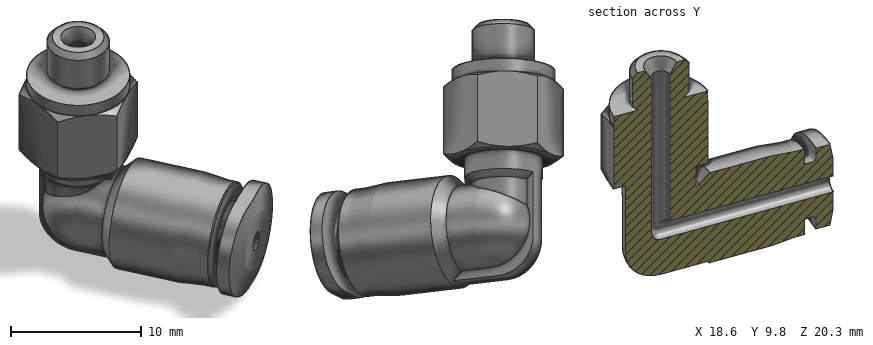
import cadquery as cq
import math


stud_diameter = 4.82
stud_end_diameter = 3.97
stud_top = 15.9
stud_chamfer_height = 0.45
flange_diameter = 7.94
flange_top = 12.3
hex_across_flats = 8.0
hex_top = 11.3
hex_bottom = 5.3
hex_chamfer_angle = 30

collar_diameter = 6.0
collar_bottom = 3.8
neck_diameter = 4.98
neck_top = 3.3

bore_diameter = 1.5
countersink_diameter = 2.65
countersink_depth = 1.01

elbow_radius = 3.48
elbow_ball_x = 0.79
body_diameter = 8.7
body_cone_start = 3.22
body_cone_end = 4.11
body_taper_start = 9.32
body_taper_end = 11.32
mouth_diameter = 8.3
mouth_end = 12.17
mouth_chamfer = 0.1

sleeve_diameter = 5.37
sleeve_fillet = 0.35
button_start = 13.1
overall_length = 18.57
button_end = overall_length - hex_across_flats / 2
button_length = 9.8
button_width = 7.82
button_face_diameter = 4.82
button_rim_x = 14.11

rib_thickness = 1.5
rib_bend_z = -1.17


def make_stud():
    """Turned stud, flange, collar and neck, revolved about Z."""
    stud_r = stud_diameter / 2
    stud_end_r = stud_end_diameter / 2
    flange_r = flange_diameter / 2
    collar_r = collar_diameter / 2
    neck_r = neck_diameter / 2
    outline = [
        (0, 0),
        (neck_r, 0),
        (neck_r, neck_top),
        (collar_r, collar_bottom),
        (collar_r, hex_bottom),
        (flange_r, hex_bottom),
        (flange_r, flange_top),
        (stud_end_r, flange_top),
        (stud_r, flange_top + stud_chamfer_height),
        (stud_r, stud_top - stud_chamfer_height),
        (stud_end_r, stud_top),
        (0, stud_top),
    ]
    return cq.Workplane("XZ").polyline(outline).close().revolve(360, (0, 0, 0), (0, 1, 0))


def make_hexagon():
    """Hexagon with flats facing +X and -X and its corners chamfered at both ends."""
    flat_r = hex_across_flats / 2
    corner_r = flat_r / math.cos(math.pi / 6)
    chamfer_drop = (corner_r - flat_r) * math.tan(math.radians(hex_chamfer_angle))
    prism = (
        cq.Workplane("XY", origin=(0, 0, hex_bottom))
        .transformed(rotate=(0, 0, 30))
        .polygon(6, 2 * corner_r)
        .extrude(hex_top - hex_bottom)
    )
    envelope = [
        (0, hex_bottom),
        (flat_r, hex_bottom),
        (corner_r, hex_bottom + chamfer_drop),
        (corner_r, hex_top - chamfer_drop),
        (flat_r, hex_top),
        (0, hex_top),
    ]
    turned = cq.Workplane("XZ").polyline(envelope).close().revolve(360, (0, 0, 0), (0, 1, 0))
    return prism.intersect(turned)


def make_body():
    """Ball-ended elbow, socket body and sleeve, revolved about X."""
    body_r = body_diameter / 2
    mouth_r = mouth_diameter / 2
    sleeve_r = sleeve_diameter / 2
    arc_offset = elbow_radius * math.sqrt(0.5)
    fillet_mid = sleeve_fillet * (1 - math.sqrt(0.5))
    return (
        cq.Workplane("XZ")
        .moveTo(elbow_ball_x - elbow_radius, 0)
        .threePointArc((elbow_ball_x - arc_offset, arc_offset), (elbow_ball_x, elbow_radius))
        .lineTo(body_cone_start, elbow_radius)
        .lineTo(body_cone_end, body_r)
        .lineTo(body_taper_start, body_r)
        .lineTo(body_taper_end, mouth_r)
        .lineTo(mouth_end - mouth_chamfer, mouth_r)
        .lineTo(mouth_end, mouth_r - mouth_chamfer)
        .lineTo(mouth_end, sleeve_r)
        .lineTo(button_start - sleeve_fillet, sleeve_r)
        .threePointArc(
            (button_start - fillet_mid, sleeve_r + fillet_mid),
            (button_start, sleeve_r + sleeve_fillet),
        )
        .lineTo(button_start, 0)
        .close()
        .revolve(360, (0, 0, 0), (1, 0, 0))
    )


def make_button():
    """Obround release button, long along Y, with a shallow conical outer face."""
    rim_r = button_length / 2
    obround = (
        cq.Workplane("YZ", origin=(button_start, 0, 0))
        .slot2D(button_length, button_width)
        .extrude(button_end - button_start)
    )
    envelope = [
        (button_start, 0),
        (button_start, rim_r),
        (button_rim_x, rim_r),
        (button_end, button_face_diameter / 2),
        (button_end, 0),
    ]
    turned = cq.Workplane("XZ").polyline(envelope).close().revolve(360, (0, 0, 0), (1, 0, 0))
    return obround.intersect(turned)


def make_rib():
    """Thin slice of a round bend that runs from the collar to the socket body."""
    rib_r = collar_diameter / 2
    upright_height = collar_bottom - rib_bend_z
    upright = cq.Workplane("XY", origin=(0, 0, rib_bend_z)).circle(rib_r).extrude(upright_height)
    bend = cq.Workplane("XY", origin=(0, 0, rib_bend_z)).sphere(rib_r)
    run = cq.Workplane("YZ", origin=(0, 0, rib_bend_z)).circle(rib_r).extrude(body_cone_end)
    slab_size = 2 * (body_cone_end + rib_r)
    slab = cq.Workplane("XY").box(slab_size, rib_thickness, slab_size)
    return upright.union(bend).union(run).intersect(slab)


def make_bore():
    """Countersunk stud bore, turned by a ball-ended elbow into a bore out along +X."""
    bore_r = bore_diameter / 2
    outline = [
        (0, 0),
        (bore_r, 0),
        (bore_r, stud_top - countersink_depth),
        (countersink_diameter / 2, stud_top),
        (0, stud_top),
    ]
    stud_bore = cq.Workplane("XZ").polyline(outline).close().revolve(360, (0, 0, 0), (0, 1, 0))
    run_bore = cq.Workplane("YZ").circle(bore_r).extrude(button_end)
    bend = cq.Workplane("XY").sphere(bore_r)
    return stud_bore.union(run_bore).union(bend)


result = (
    make_body()
    .union(make_stud())
    .union(make_hexagon())
    .union(make_button())
    .union(make_rib())
    .cut(make_bore())
)